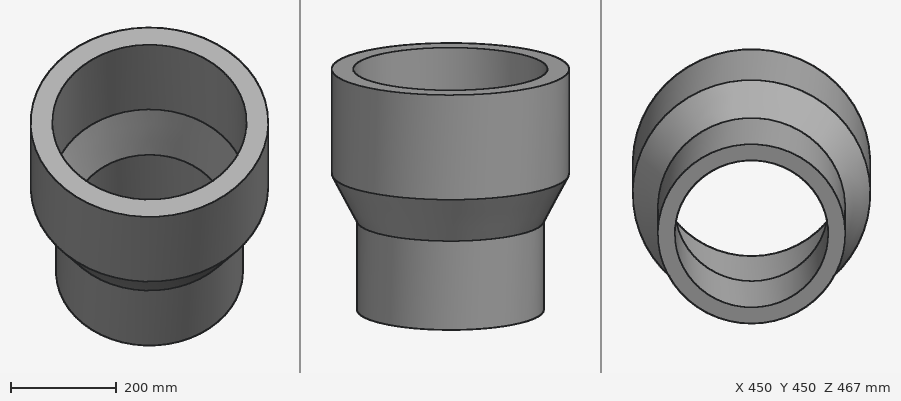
import cadquery as cq

total_height = 467.0
wide_height = 203.0
narrow_height = 173.0

wide_diameter = 450.0
wide_wall = 41.0
narrow_diameter = 355.0
narrow_wall = 32.0

taper_top = total_height - wide_height
wide_radius = wide_diameter / 2
narrow_radius = narrow_diameter / 2
wide_bore_radius = wide_radius - wide_wall
narrow_bore_radius = narrow_radius - narrow_wall

wall_section = (
    cq.Workplane("XZ")
    .moveTo(narrow_bore_radius, 0)
    .lineTo(narrow_radius, 0)
    .lineTo(narrow_radius, narrow_height)
    .lineTo(wide_radius, taper_top)
    .lineTo(wide_radius, total_height)
    .lineTo(wide_bore_radius, total_height)
    .lineTo(wide_bore_radius, taper_top)
    .lineTo(narrow_bore_radius, narrow_height)
    .close()
)

result = wall_section.revolve(360, (0, 0, 0), (0, 1, 0))